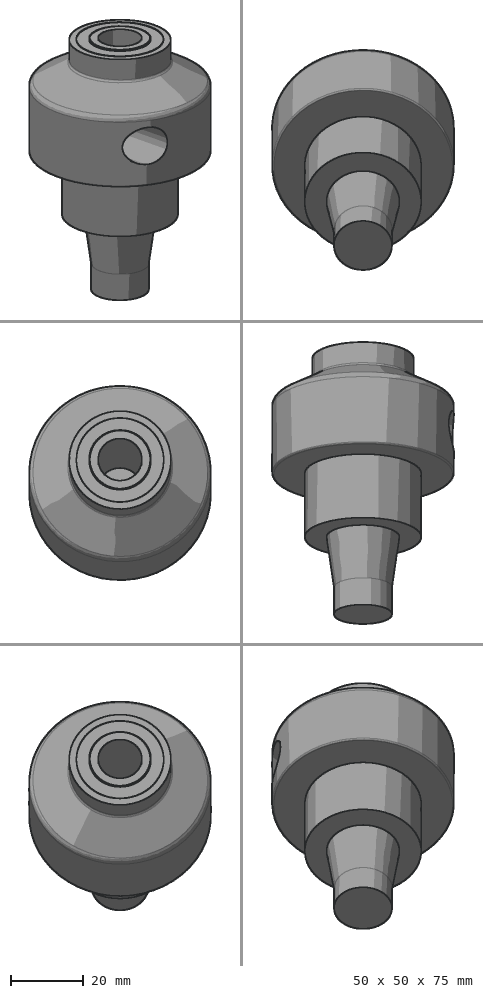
import cadquery as cq
import math

total_height = 75.0
tip_top = 7.9
stem_bottom = 22.5
body_bottom = 41.0
collar_top = 74.5
land_top = 74.6

tip_radius = 16.0 / 2
taper_radius = 20.0 / 2
stem_radius = 32.0 / 2
body_radius = 50.0 / 2
collar_radius = 28.0 / 2
land_radius = 24.0 / 2
rim_radius = 17.0 / 2

shoulder_bottom = 61.65
shoulder_angle = 30.0
shoulder_rise = (body_radius - collar_radius) * math.tan(math.radians(shoulder_angle))
shoulder_top = shoulder_bottom + shoulder_rise

shoulder_fillet = 2.0
collar_fillet = 0.8
body_bottom_fillet = 0.45
rim_chamfer = 0.2

bore_diameter = 12.0
bore_depth = 30.0
side_hole_diameter = 11.0
side_hole_y = -12.5
side_hole_z = 52.9


def fillet_ring(body, radius, level, fillet):
    """Round the circular edge of the given radius at the given level."""
    tolerance = 0.01
    reach = radius + tolerance
    ring = cq.selectors.BoxSelector(
        (-reach, -reach, level - tolerance),
        (reach, reach, level + tolerance),
        boundingbox=True,
    )
    edge = max(body.edges(ring).vals(), key=lambda candidate: candidate.Length())
    return body.newObject([edge]).fillet(fillet)


def turned_body():
    profile = [
        (0, 0),
        (tip_radius, 0),
        (tip_radius, tip_top),
        (taper_radius, stem_bottom),
        (stem_radius, stem_bottom),
        (stem_radius, body_bottom),
        (body_radius, body_bottom),
        (body_radius, shoulder_bottom),
        (collar_radius, shoulder_top),
        (collar_radius, collar_top),
        (land_radius, collar_top),
        (land_radius, land_top),
        (rim_radius, land_top),
        (rim_radius, total_height - rim_chamfer),
        (rim_radius - rim_chamfer, total_height),
        (0, total_height),
    ]
    body = cq.Workplane("XZ").polyline(profile).close().revolve(360, (0, 0), (0, 1))
    body = fillet_ring(body, body_radius, shoulder_bottom, shoulder_fillet)
    body = fillet_ring(body, collar_radius, shoulder_top, collar_fillet)
    return fillet_ring(body, body_radius, body_bottom, body_bottom_fillet)


def bore():
    """Blind bore sunk from the top face."""
    return (
        cq.Workplane("XY", origin=(0, 0, total_height - bore_depth))
        .circle(bore_diameter / 2)
        .extrude(bore_depth)
    )


def side_hole():
    """Off-centre hole along X, from the +X side in to the middle plane."""
    return (
        cq.Workplane("YZ")
        .center(side_hole_y, side_hole_z)
        .circle(side_hole_diameter / 2)
        .extrude(body_radius)
    )


result = turned_body().cut(bore()).cut(side_hole())